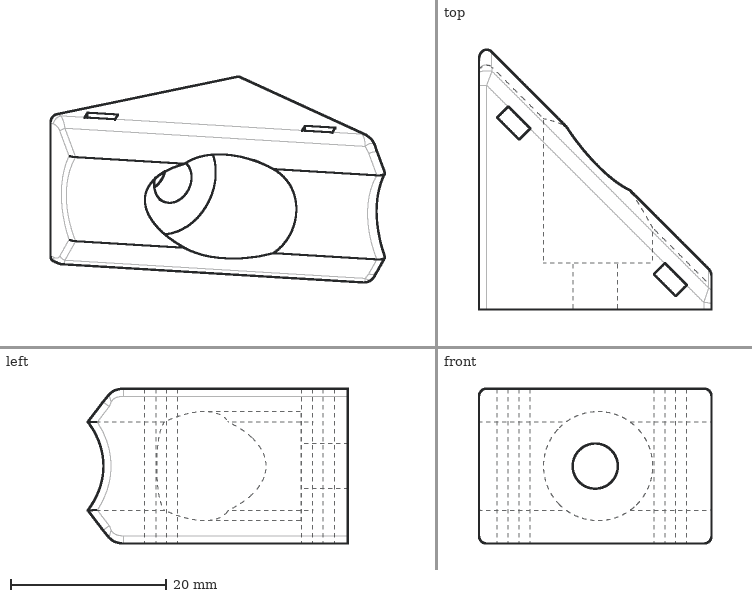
import cadquery as cq
import math

width = 30.0
height = 20.0
edge_radius = 1.0
half_height = height / 2

ridge_distance = 24.67
bevel_distance = 22.35
ridge_half_spacing = 5.7
saddle_radius = 12.5
bevel_radius = 2.0

hole_diameter = 5.8
recess_diameter = 14.08
recess_floor = 6.0
recess_offset = 0.37

slot_length = 4.0
slot_width = 2.0
slot_distance = 20.18
slot_half_spacing = 14.28
slot_offset = 0.45

diagonal = math.sqrt(2)
stock_length = 4 * width


def make_sloped_bar():
    """Bar along the sloped side with bevelled shoulders and a round saddle."""
    saddle_depth = saddle_radius - math.sqrt(saddle_radius**2 - ridge_half_spacing**2)
    section_plane = cq.Plane(origin=(0, 0, 0), xDir=(1, 1, 0), normal=(1, -1, 0))
    bar = (
        cq.Workplane(section_plane)
        .moveTo(-width, -half_height)
        .lineTo(bevel_distance, -half_height)
        .lineTo(ridge_distance, -ridge_half_spacing)
        .threePointArc((ridge_distance - saddle_depth, 0), (ridge_distance, ridge_half_spacing))
        .lineTo(bevel_distance, half_height)
        .lineTo(-width, half_height)
        .close()
        .extrude(stock_length / 2, both=True)
    )
    reach = 0.05
    shoulder = bevel_distance / diagonal
    shoulder_box = cq.selectors.BoxSelector(
        (shoulder - reach, shoulder - reach, -height),
        (shoulder + reach, shoulder + reach, height),
    )
    return bar.edges(shoulder_box).fillet(bevel_radius)


def make_body():
    """Trim the bar to the two legs and round the rims of both X end faces."""
    envelope = cq.Workplane().box(width, stock_length, height, centered=(False, False, True))
    body = make_sloped_bar().intersect(envelope)
    front_edges = body.faces("<Y").edges().vals()
    rims = body.faces("<X or >X").edges().vals()
    rounded = [edge for edge in rims if not any(edge.isSame(front) for front in front_edges)]
    return body.newObject(rounded).fillet(edge_radius)


def make_bore(diameter, start, offset=0):
    """Cylinder toward +Y from the given Y, shifted along X from the block middle."""
    plane = cq.Plane(origin=(width / 2 + offset, start, 0), xDir=(1, 0, 0), normal=(0, 1, 0))
    return cq.Workplane(plane).circle(diameter / 2).extrude(stock_length)


def make_strap_slot(side):
    """Rectangular through slot on one side of the middle of the slope."""
    slot = cq.Workplane().box(slot_length, slot_width, 2 * height).rotate((0, 0, 0), (0, 0, 1), -45)
    middle = slot_distance / diagonal
    shift = (slot_offset + side * slot_half_spacing) / diagonal
    return slot.translate((middle + shift, middle - shift, 0))


result = make_body()
result = result.cut(make_bore(hole_diameter, 0))
result = result.cut(make_bore(recess_diameter, recess_floor, recess_offset))
for side in (-1, 1):
    result = result.cut(make_strap_slot(side))